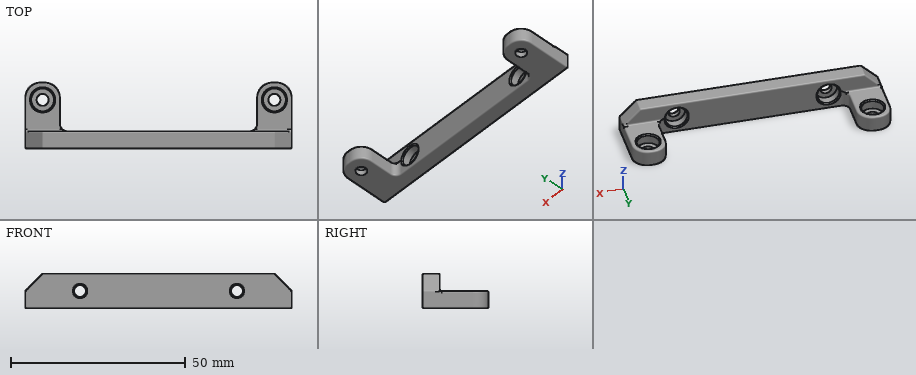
import cadquery as cq

length = 76.5
depth = 19.0
height = 10.0

bar_thickness = height / 2
slope_run = height / 2

ear_width = height
ear_height = height - slope_run
ear_corner_radius = 4.5
ear_flare_radius = 2.0

hole_diameter = 3.4
bar_hole_spacing = 45.0
bar_hole_z = height / 2
ear_hole_spacing = length - ear_width
ear_hole_y = depth - ear_width / 2
counterbore_diameter = 6.5
counterbore_depth = 3.0

edge_round = 0.5
mouth_chamfer = 0.4

margin = 0.1

SIDES = (-1, 1)


def make_bar():
    """Bar with its front face on Y = 0 and its bottom on Z = 0."""
    end = length / 2
    outline = [
        (-end, 0),
        (end, 0),
        (end, ear_height),
        (end - slope_run, height),
        (-end + slope_run, height),
        (-end, ear_height),
    ]
    return cq.Workplane("XZ").polyline(outline).close().extrude(-bar_thickness)


def make_ear(side):
    """Ear with rounded rear corners and a root that flares into the back of the bar."""
    outer = length / 2
    inner = outer - ear_width
    root = inner - ear_flare_radius
    corner = ear_corner_radius
    ear = (
        cq.Workplane("XY")
        .moveTo(outer, 0)
        .lineTo(outer, depth - corner)
        .radiusArc((outer - corner, depth), -corner)
        .lineTo(inner + corner, depth)
        .radiusArc((inner, depth - corner), -corner)
        .lineTo(inner, bar_thickness + ear_flare_radius)
        .radiusArc((root, bar_thickness), ear_flare_radius)
        .lineTo(root, 0)
        .close()
        .extrude(ear_height)
    )
    return ear if side > 0 else ear.mirror("YZ")


def round_bar_and_bottom(body):
    """Round the bar's upper edges and the bottom outline, and blend the bar into the ears."""
    bar_box = cq.selectors.BoxSelector(
        (-length, -margin, margin),
        (length, bar_thickness + margin, height + margin),
    )
    bar_edges = body.edges(bar_box).edges("<Y or (not |Z)")
    bottom_edges = body.faces("<Z").edges()
    return body.newObject(bar_edges.vals() + bottom_edges.vals()).fillet(edge_round)


def ear_rim_waste(side):
    """Sliver to remove so that an ear's top rim is round, up to the blend behind the bar."""
    ear = make_ear(side)
    rounded_ear = ear.faces(">Z").edges("not <Y").fillet(edge_round)
    blend_end = bar_thickness + edge_round
    behind_blend = cq.Workplane("XY", origin=(0, blend_end, 0)).box(
        length, depth, height, centered=(True, False, False)
    )
    return ear.cut(rounded_ear).intersect(behind_blend)


def hole_mouth(plane, diameter):
    """Conical cutter for the chamfer where a hole meets the given plane."""
    return (
        plane.circle(diameter / 2 + mouth_chamfer)
        .workplane(offset=-mouth_chamfer)
        .circle(diameter / 2)
        .loft()
    )


def bar_hole(side):
    """Through hole in the bar, counterbored from behind, with both mouths chamfered."""
    front = cq.Workplane("XZ", origin=(side * bar_hole_spacing / 2, 0, bar_hole_z))
    hole = front.circle(hole_diameter / 2).extrude(-bar_thickness)
    back = cq.Workplane(front.plane).workplane(offset=bar_thickness, invert=True)
    counterbore = back.circle(counterbore_diameter / 2).extrude(-counterbore_depth)
    mouths = hole_mouth(front, hole_diameter).union(hole_mouth(back, counterbore_diameter))
    return hole.union(counterbore).union(mouths)


def ear_hole(side):
    """Through hole in an ear with a counterbore from above and a chamfered mouth."""
    top = cq.Workplane("XY", origin=(side * ear_hole_spacing / 2, ear_hole_y, ear_height))
    hole = top.circle(hole_diameter / 2).extrude(-ear_height)
    counterbore = top.circle(counterbore_diameter / 2).extrude(-counterbore_depth)
    return hole.union(counterbore).union(hole_mouth(top, counterbore_diameter))


body = make_bar()
for side in SIDES:
    body = body.union(make_ear(side))

body = round_bar_and_bottom(body)

for side in SIDES:
    body = body.cut(ear_rim_waste(side))
    body = body.cut(bar_hole(side))
    body = body.cut(ear_hole(side))

result = cq.Workplane(body.solids().val())